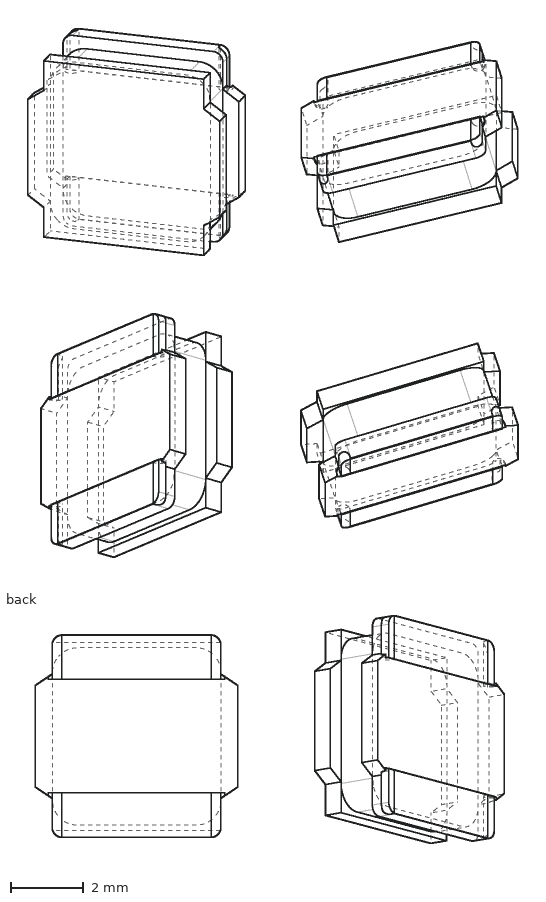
import cadquery as cq

width = 5.57
height = 5.57
depth = 2.24
terminal_plate = 0.02
flange_thickness = 0.555
core_length = depth - terminal_plate - 2 * flange_thickness
core_start = flange_thickness
rear_start = core_start + core_length
rear_face = rear_start + flange_thickness

neck_width = 4.64
shoulder_height = 2.795
neck_start_height = 3.42
front_height = 5.16
rear_corner_radius = 0.28

core_height = 4.88
core_radius = 0.69

terminal_inner_z = 1.56
terminal_height = height / 2 - terminal_inner_z
bar_radius = 0.185
bar_inset = 0.085
bar_axis_depth = 0.07
bar_x = neck_width / 2 - bar_inset
bar_axis_y = rear_face - bar_axis_depth


def block(size_x, start_y, end_y, size_z):
    """Box centred on X and Z between two Y positions."""
    middle_y = (start_y + end_y) / 2
    return cq.Workplane("XY").box(size_x, end_y - start_y, size_z).translate((0, middle_y, 0))


def flange_parts(start_y, flange_height):
    """Straight neck block and full-width middle that together form a flange."""
    end_y = start_y + flange_thickness
    neck = block(neck_width, start_y, end_y, flange_height)
    middle = (
        cq.Workplane("XZ", origin=(0, start_y, 0))
        .moveTo(width / 2, -shoulder_height / 2)
        .lineTo(width / 2, shoulder_height / 2)
        .lineTo(neck_width / 2, neck_start_height / 2)
        .lineTo(-neck_width / 2, neck_start_height / 2)
        .lineTo(-width / 2, shoulder_height / 2)
        .lineTo(-width / 2, -shoulder_height / 2)
        .lineTo(-neck_width / 2, -neck_start_height / 2)
        .lineTo(neck_width / 2, -neck_start_height / 2)
        .close()
        .extrude(-flange_thickness)
    )
    return neck, middle


def make_front_flange():
    neck, middle = flange_parts(0, front_height)
    return neck.union(middle)


def make_core():
    core = block(neck_width, core_start, rear_start, core_height)
    return core.edges("|Y").fillet(core_radius)


def make_bar(side_x, side_z):
    """Bar along Z with a half-round front, ending at the rear of the terminal."""
    start_z = terminal_inner_z if side_z > 0 else -height / 2
    return (
        cq.Workplane("XY", origin=(side_x * bar_x, 0, start_z))
        .moveTo(-bar_radius, depth)
        .lineTo(-bar_radius, bar_axis_y)
        .threePointArc((0, bar_axis_y - bar_radius), (bar_radius, bar_axis_y))
        .lineTo(bar_radius, depth)
        .close()
        .extrude(terminal_height)
    )


def make_rear_flange():
    """Rear flange with rounded corners and a groove for every terminal bar."""
    neck, middle = flange_parts(rear_start, height)
    flange = neck.edges("|Y").fillet(rear_corner_radius).union(middle)
    for side_z in (1, -1):
        for side_x in (1, -1):
            flange = flange.cut(make_bar(side_x, side_z))
    return flange


def make_terminal(side_z):
    """Terminal plate and its two bars, trimmed flush with the neck."""
    middle_z = side_z * (terminal_inner_z + terminal_height / 2)
    plate = block(neck_width, rear_face, depth, terminal_height).translate((0, 0, middle_z))
    neck_limit = block(neck_width, rear_start, depth, height).edges("|Y").fillet(rear_corner_radius)
    terminal = plate
    for side_x in (1, -1):
        terminal = terminal.union(make_bar(side_x, side_z))
    return terminal.intersect(neck_limit)


front_flange = make_front_flange()
core = make_core()
rear_flange = make_rear_flange()
terminals = [make_terminal(side_z) for side_z in (1, -1)]

result = cq.Compound.makeCompound(
    [front_flange.solids().val(), core.solids().val(), rear_flange.solids().val()]
    + [terminal.solids().val() for terminal in terminals]
)